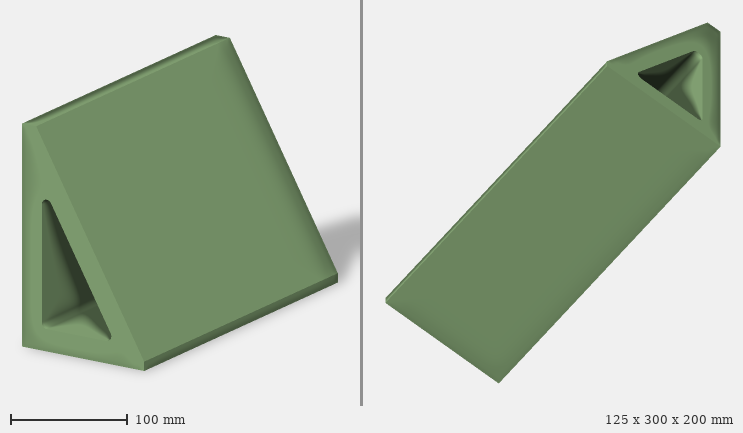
import cadquery as cq
import math

width = 125.0
length = 300.0
height = 200.0

slope_angle = 60.0
top_land = 14.5
wall = 20.0
corner_radius = 5.0

slope = math.tan(math.radians(slope_angle))
toe_height = height - (width - top_land) * slope

wall_across = wall / math.sin(math.radians(slope_angle))


def inner_slope_x(z):
    return top_land + (height - z) / slope - wall_across


inner_apex_z = height - (wall + wall_across - top_land) * slope


def prism(points):
    """Extrude an XZ outline along the full length, centred on Y."""
    return cq.Workplane("XZ").polyline(points).close().extrude(length / 2, both=True)


body = prism([(0, 0), (width, 0), (width, toe_height), (top_land, height), (0, height)])

opening = prism([(wall, wall), (inner_slope_x(wall), wall), (wall, inner_apex_z)])
opening = opening.edges("|Y").fillet(corner_radius)

result = body.cut(opening)